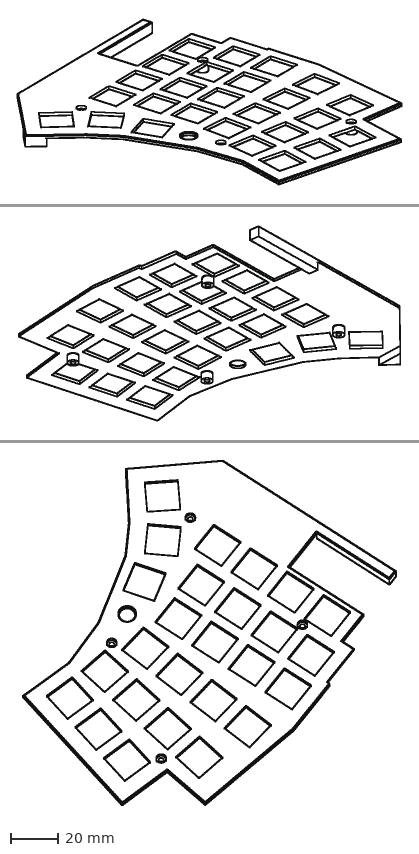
import cadquery as cq

total_height = 5.4
plate_thickness = 1.5
standoff_height = 3.5
edge_chamfer = 0.5
plate_top = total_height
plate_bottom = plate_top - plate_thickness

plate_length = 157.7
plate_width = 130.0
arm_width = 4.9
arm_end_y = 121.5
arm_length = 38.0
arm_root_y = arm_end_y - arm_length
slot_right_x = 24.8
left_corner = (0.0, 31.2)
tip = (27.1, 0.0)
thumb_corner = (47.5, 16.1)

step_left_x = 40.4
step_right_x = 60.0
step_base_y = 122.5
step_top_y = 128.5

outline = [
    left_corner,
    (0.0, arm_end_y),
    (arm_width, arm_end_y),
    (arm_width, arm_root_y),
    (slot_right_x, arm_root_y),
    (slot_right_x, step_base_y),
    (step_left_x, step_base_y),
    (step_left_x, step_top_y),
    (step_right_x, step_top_y),
    (step_right_x, plate_width),
    (86.4, plate_width),
    (137.0, 120.1),
    (133.7, 97.9),
    (plate_length, 91.6),
    (140.3, 27.5),
    (116.2, 34.0),
    (93.3, 33.1),
    (61.0, 24.0),
    thumb_corner,
    tip,
]

key_size = 14.0
key_pitch = 19.0
key_columns = [
    ((34.2, 110.2), 0, 4),
    ((53.6, 115.5), 0, 4),
    ((72.2, 117.0), 0, 4),
    ((96.8, 113.5), -5, 4),
    ((120.6, 105.3), -10, 4),
    ((139.5, 81.2), -15, 3),
    ((66.4, 37.8), 15, 1),
    ((45.7, 32.6), 30, 1),
    ((28.7, 20.3), 40, 1),
]

standoff_diameter = 5.0
screw_head_diameter = 4.3
screw_head_depth = 1.5
screw_hole_diameter = 2.2
screw_points = [(44.0, 104.2), (130.5, 92.5), (98.0, 43.5), (30.3, 36.0)]

round_hole_center = (83.1, 40.8)
round_hole_diameter = 6.8

leg_left_y = 7.1
leg_right_y = 5.7

selection_margin = 0.2


def point_at_y(start, end, y):
    """Point with the given Y on the line from start to end."""
    share = (y - start[1]) / (end[1] - start[1])
    return (start[0] + share * (end[0] - start[0]), y)


def make_plate():
    sketch = cq.Workplane("XY").workplane(offset=plate_bottom).polyline(outline).close()
    plate = sketch.extrude(plate_thickness)
    sharp_zone = cq.selectors.BoxSelector(
        (step_left_x + edge_chamfer, step_top_y - selection_margin, plate_bottom),
        (step_right_x + selection_margin, plate_width - selection_margin, plate_top + selection_margin),
    )
    top_edges = cq.selectors.DirectionMinMaxSelector(cq.Vector(0, 0, 1))
    beveled_edges = cq.selectors.SubtractSelector(top_edges, sharp_zone)
    return plate.edges(beveled_edges).chamfer(edge_chamfer)


def make_legs():
    """Bar under the arm and triangular foot under the tip, both flush with the outline."""
    bar = cq.Workplane("XY").rect(arm_width, arm_length, centered=False).extrude(plate_bottom)
    foot_points = [
        tip,
        point_at_y(tip, left_corner, leg_left_y),
        point_at_y(tip, thumb_corner, leg_right_y),
    ]
    foot = cq.Workplane("XY").polyline(foot_points).close().extrude(plate_bottom)
    return bar.translate((0, arm_root_y, 0)).union(foot)


def make_standoffs():
    start = cq.Workplane("XY").workplane(offset=plate_bottom - standoff_height)
    return start.pushPoints(screw_points).circle(standoff_diameter / 2).extrude(standoff_height)


def cut_screw_holes(body):
    top = cq.Workplane("XY").workplane(offset=plate_top).pushPoints(screw_points)
    heads = top.circle(screw_head_diameter / 2).extrude(-screw_head_depth)
    holes = top.circle(screw_hole_diameter / 2).extrude(-total_height)
    return body.cut(heads).cut(holes)


def cut_keys(body):
    for (x, y), tilt, count in key_columns:
        for row in range(count):
            key = cq.Workplane("XY").box(key_size, key_size, 2 * total_height)
            key = key.translate((0, -row * key_pitch, total_height))
            body = body.cut(key.rotate((0, 0, 0), (0, 0, 1), tilt).translate((x, y, 0)))
    return body


def cut_round_hole(body):
    top = cq.Workplane("XY").workplane(offset=plate_top).center(*round_hole_center)
    radius = round_hole_diameter / 2
    bore = top.circle(radius).extrude(-plate_thickness)
    bevel = top.circle(radius + edge_chamfer).extrude(-edge_chamfer, taper=45)
    return body.cut(bore).cut(bevel)


result = make_plate().union(make_legs()).union(make_standoffs())
result = cut_screw_holes(result)
result = cut_keys(result)
result = cut_round_hole(result)